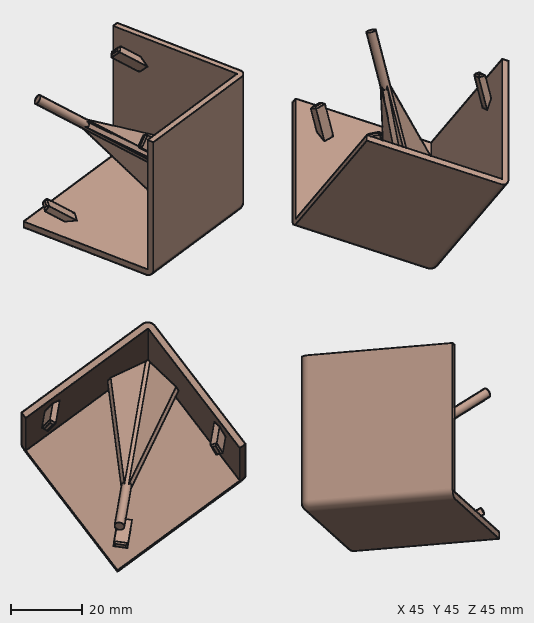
import cadquery as cq

SIZE = 45.0
WALL = 2.0
OUTER_RADIUS = 2.5

PIN_DIAMETER = 2.8
PIN_LENGTH = 69.6

RIB_WIDTH = 1.6
RIB_FOOT = 13.7
RIB_APEX = 57.5

POST_OFFSET = 27.5
POST_WIDTH = 4.0
POST_THICKNESS = 2.0
POST_HEIGHT = 47.7
POST_CHAMFER = 0.5

INNER = SIZE - WALL
ORIGIN = cq.Vector(0, 0, 0)
DIAGONAL = cq.Vector(-1, -1, 1).normalized()
OUTWARD = cq.Vector(-1, -1, -2).normalized()
COPIES = 3
COPY_ANGLE = 360.0 / COPIES


def open_box(low, high):
    """Cube from low beyond the inner corner, behind the walls, to high on the open side."""
    side = high + low
    return cq.Workplane("XY").box(side, side, side, centered=False).translate((-high, -high, -low))


def make_walls():
    outer = open_box(WALL, INNER)
    outer = outer.edges("(>X and >Y) or (>X and <Z) or (>Y and <Z)").fillet(OUTER_RADIUS)
    return outer.cut(open_box(0, INNER))


def make_pin():
    return cq.Workplane(cq.Plane(ORIGIN, OUTWARD, DIAGONAL)).circle(PIN_DIAMETER / 2).extrude(PIN_LENGTH)


def make_rib():
    """Triangle in the plane of the pin and the Z axis, standing on the floor."""
    foot = cq.Vector(-RIB_FOOT, -RIB_FOOT, 0)
    plane = cq.Plane(ORIGIN, OUTWARD, OUTWARD.cross(DIAGONAL))
    foot_point = (foot.dot(OUTWARD), foot.dot(DIAGONAL))
    apex_point = (0, RIB_APEX)
    triangle = cq.Workplane(plane).polyline([(0, 0), foot_point, apex_point]).close()
    return triangle.extrude(RIB_WIDTH / 2, both=True)


def make_post():
    """Post with a chamfered tip, running down through the floor level."""
    plane = cq.Plane(OUTWARD.multiply(POST_OFFSET), OUTWARD, DIAGONAL)
    post = cq.Workplane(plane).rect(POST_THICKNESS, POST_WIDTH).extrude(POST_HEIGHT)
    return post.faces(cq.selectors.DirectionMinMaxSelector(DIAGONAL)).chamfer(POST_CHAMFER)


attachments = make_pin()
for copy in range(COPIES):
    for feature in (make_rib(), make_post()):
        turned = feature.rotate(ORIGIN.toTuple(), DIAGONAL.toTuple(), copy * COPY_ANGLE)
        attachments = attachments.union(turned)

result = make_walls().union(attachments.intersect(open_box(0, INNER)))